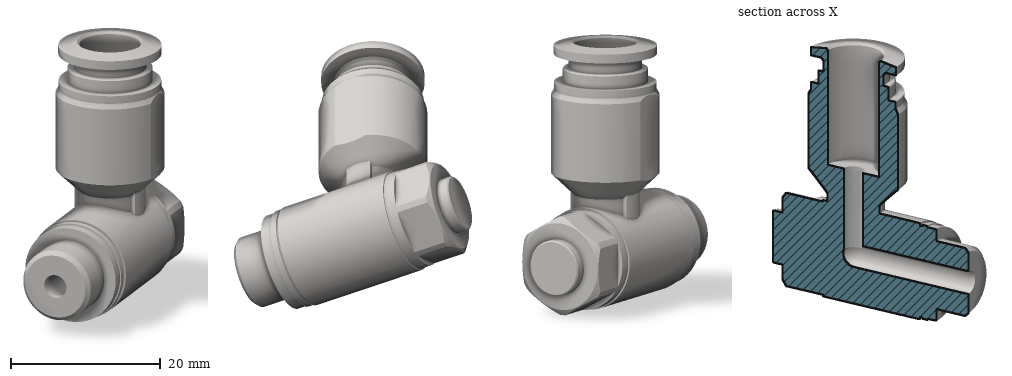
import cadquery as cq

riser_diameter = 3.0
stud_bore_diameter = 3.2

stud_front = -18.55
washer_front = -13.42
lip_front = -11.93
groove_front = -11.1
body_front = -10.75
body_back = 4.9
hex_front = 6.4
hex_back = 11.43
knob_back = 13.0
stud_diameter = 9.8
stud_chamfer = 0.57
washer_diameter = 13.15
lip_diameter = 13.5
groove_diameter = 13.15
body_diameter = 13.8
collar_diameter = 13.4
knob_diameter = 7.5
knob_chamfer = 0.18
hex_across_flats = 12.0
hex_chamfer_length = 0.6
hex_chamfer_radial = 0.82

cone_bottom = 8.05
barrel_bottom = 10.93
barrel_shoulder = 21.6
barrel_top = 22.3
collar_top = 23.35
sleeve_top = 25.25
flange_bottom = 27.1
flange_rim = 28.3
overall_height = 35.6
socket_top = overall_height - body_diameter / 2
stem_diameter = 8.5
barrel_diameter = 14.52
socket_collar_diameter = 13.7
sleeve_diameter = 11.4
sleeve_chamfer = 0.15
neck_diameter = 9.8
neck_flare = 0.3
flange_diameter = 13.8
barrel_across_flats = 13.8
lug_diameter = 9.47
lug_width = 3.5
lug_top = 9.25

bore_diameter = 8.2
bore_mouth_diameter = 8.8
bore_chamfer = (bore_mouth_diameter - bore_diameter) / 2
bore_floor = 12.1


def y_cylinder(diameter, start, end):
    """Cylinder on the Y axis between two Y positions."""
    return cq.Workplane("XZ", origin=(0, start, 0)).circle(diameter / 2).extrude(start - end)


def make_body():
    body = y_cylinder(stud_diameter, stud_front, washer_front).faces("<Y").chamfer(stud_chamfer)
    for diameter, start, end in (
        (washer_diameter, washer_front, lip_front),
        (lip_diameter, lip_front, groove_front),
        (groove_diameter, groove_front, body_front),
        (body_diameter, body_front, body_back),
        (collar_diameter, body_back, hex_front),
    ):
        body = body.union(y_cylinder(diameter, start, end))
    knob = y_cylinder(knob_diameter, hex_back, knob_back).faces(">Y").chamfer(knob_chamfer)
    return body.union(make_hex()).union(knob)


def make_hex():
    """Hexagon with flats facing +/-X, its corners turned round and its back edge coned."""
    blank = y_cylinder(collar_diameter, hex_front, hex_back)
    blank = blank.faces(">Y").chamfer(hex_chamfer_length, hex_chamfer_radial)
    prism = (
        cq.Workplane("XZ", origin=(0, hex_front, 0))
        .polygon(6, hex_across_flats, circumscribed=True)
        .extrude(hex_front - hex_back)
    )
    return blank.intersect(prism)


def make_socket():
    socket = (
        cq.Workplane("XZ")
        .lineTo(stem_diameter / 2, 0)
        .lineTo(stem_diameter / 2, cone_bottom)
        .lineTo(barrel_diameter / 2, barrel_bottom)
        .lineTo(barrel_diameter / 2, barrel_shoulder)
        .lineTo(socket_collar_diameter / 2, barrel_top)
        .lineTo(socket_collar_diameter / 2, collar_top)
        .lineTo(sleeve_diameter / 2, collar_top)
        .lineTo(sleeve_diameter / 2, sleeve_top - sleeve_chamfer)
        .lineTo(sleeve_diameter / 2 - sleeve_chamfer, sleeve_top)
        .lineTo(neck_diameter / 2, sleeve_top)
        .lineTo(neck_diameter / 2, flange_bottom - neck_flare)
        .lineTo(neck_diameter / 2 + neck_flare, flange_bottom)
        .lineTo(flange_diameter / 2, flange_bottom)
        .lineTo(flange_diameter / 2, flange_rim)
        .lineTo(bore_mouth_diameter / 2, socket_top)
        .lineTo(0, socket_top)
        .close()
        .revolve(360, (0, 0), (0, 1))
    )
    flats = cq.Workplane("XY").rect(barrel_across_flats, 2 * barrel_diameter).extrude(socket_top)
    return socket.intersect(flats).union(make_lugs())


def make_lugs():
    """Round-faced ribs on the +X and -X sides of the stem, running up into the cone."""
    ribs = cq.Workplane("XY").circle(lug_diameter / 2).extrude(lug_top)
    return ribs.intersect(cq.Workplane("XY").rect(lug_diameter, lug_width).extrude(lug_top))


def make_passage():
    """Tube bore joined to the stud opening through a ball-ended elbow."""
    bore = cq.Workplane("XY", origin=(0, 0, bore_floor)).circle(bore_diameter / 2)
    bore = bore.extrude(socket_top - bore_floor)
    mouth = (
        cq.Workplane("XY", origin=(0, 0, socket_top - bore_chamfer))
        .circle(bore_diameter / 2)
        .workplane(offset=bore_chamfer)
        .circle(bore_mouth_diameter / 2)
        .loft()
    )
    riser = cq.Workplane("XY").circle(riser_diameter / 2).extrude(bore_floor)
    elbow = cq.Workplane("XY").sphere(stud_bore_diameter / 2)
    stud_bore = y_cylinder(stud_bore_diameter, stud_front, 0)
    return bore.union(mouth).union(riser).union(stud_bore).union(elbow)


result = make_body().union(make_socket()).cut(make_passage())